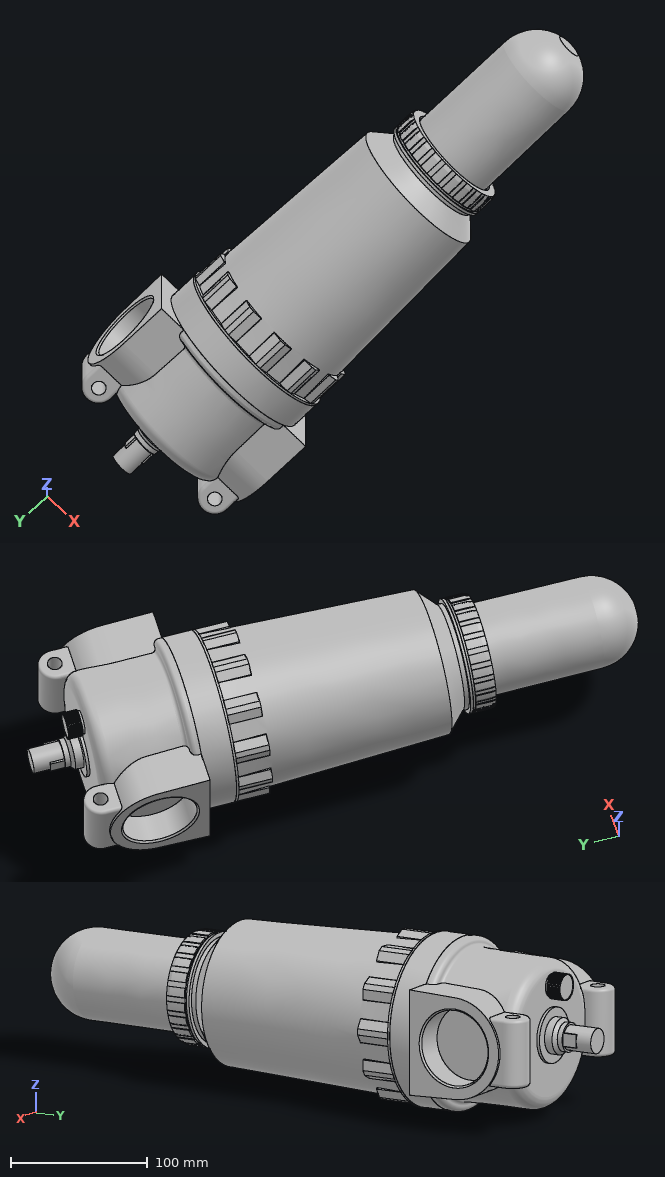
import cadquery as cq
import math

OVERALL_LENGTH = 460.0
OVERALL_WIDTH = 150.0
OVERLAP = 2.5

HEAD_BACK_Y = 76.0
HEAD_BACK_RADIUS = 56.0
HEAD_FRONT_RADIUS = 57.0
HEAD_BACK_FILLET = 10.0
HOUSING_DIAMETER = 130.0
RIM_LENGTH = 7.5
RIM_FILLET = 4.5
RIM_NECK_FILLET = 3.0

PORT_AXIS_Y = 37.5
BLOCK_RADIUS = HEAD_BACK_Y - PORT_AXIS_Y
BLOCK_DRAFT_ANGLE = math.radians(2)
PORT_DIAMETER = 56.5
PORT_DEPTH = 23.0
PORT_CHAMFER = 1.5

LUG_SPACING = 120.5
LUG_AXIS_Y = 79.0
LUG_DIAMETER = 25.5
LUG_HEIGHT = 51.5
LUG_FILLET = 2.8
LUG_HOLE_DIAMETER = 10.5

STEM_END_Y = 115.0
STEM_DIAMETER = 19.0
STEM_COLLAR_DIAMETER = 22.0
STEM_COLLAR_END_Y = 91.5
STEM_BASE_DIAMETER = 27.5
STEM_BASE_END_Y = 84.5
STEM_BASE_CHAMFER = (STEM_BASE_DIAMETER - STEM_COLLAR_DIAMETER) / 2
BOSS_DIAMETER = 42.0
BOSS_END_Y = 78.0
KEY_WIDTH = 10.0
KEY_END_Y = 102.5
KNOB_AXIS_Z = 37.3
KNOB_DIAMETER = 20.0
KNOB_SHANK_DIAMETER = 17.5
KNOB_START_Y = 77.7
KNOB_END_Y = 89.0
KNOB_GROOVES = 36
KNOB_GROOVE_DEPTH = 0.5
KNOB_GROOVE_WIDTH = 1.0

COLLAR_END_Y = -23.0
LIP_DIAMETER = 130.5
LIP_END_Y = -25.0
RIB_END_Y = -50.5
RIB_COUNT = 12
RIB_TOP_RADIUS = 65.0
RIB_TOP_WIDTH = 4.5
RIB_BASE_RADIUS = 60.5
RIB_BASE_WIDTH = 18.0
BOWL_TOP_RADIUS = 61.0
BOWL_BOTTOM_RADIUS = 54.7
TAPER_END_Y = -190.0
NECK_START_Y = -204.0
NECK_DIAMETER = 80.0

NUT_DIAMETER = 87.0
NUT_START_Y = -207.5
NUT_GROOVE_START_Y = -209.8
NUT_GROOVE_END_Y = -211.5
NUT_GROOVE_DIAMETER = 84.0
NUT_END_Y = -227.2
NUT_CHAMFER_LENGTH = 3.0
NUT_RECESS_DIAMETER = 72.5
NUT_RECESS_DEPTH = 2.8
KNURL_COUNT = 24
KNURL_GROOVE_WIDTH = 4.0
KNURL_GROOVE_DEPTH = 1.0

DOME_TOP_RADIUS = 35.0
DOME_RADIUS = 34.5
DOME_STRAIGHT_END_Y = -312.0
DOME_TIP_Y = STEM_END_Y - OVERALL_LENGTH


def rod(diameter, y_start, y_end):
    """Cylinder on the Y axis from y_start to y_end."""
    return cq.Workplane("XZ", origin=(0, y_start, 0)).circle(diameter / 2).extrude(y_start - y_end)


def around_y(shape, count):
    """Copies of a shape at equal angles around the Y axis."""
    return [shape.rotate((0, 0, 0), (0, 1, 0), i * 360 / count) for i in range(count)]


def revolve_y(profile):
    """Turned solid from an open half outline that starts and ends on the Y axis."""
    return profile.close().revolve(360, (0, 0, 0), (0, 1, 0))


def head_casting():
    """Nearly cylindrical casting with a rounded back end and a wide rim at its front."""
    back = revolve_y(
        cq.Workplane("XY")
        .lineTo(HEAD_FRONT_RADIUS, 0)
        .lineTo(HEAD_BACK_RADIUS, HEAD_BACK_Y)
        .lineTo(0, HEAD_BACK_Y)
    )
    back = back.faces(">Y").edges().fillet(HEAD_BACK_FILLET)
    rim = rod(HOUSING_DIAMETER, 0, RIM_LENGTH).faces(">Y").edges().fillet(RIM_FILLET)
    neck = cq.selectors.BoxSelector(
        (-HOUSING_DIAMETER, RIM_LENGTH - RIM_NECK_FILLET / 2, -HOUSING_DIAMETER),
        (HOUSING_DIAMETER, RIM_LENGTH + RIM_NECK_FILLET / 2, HOUSING_DIAMETER),
    )
    return back.union(rim).edges("%CIRCLE").edges(neck).fillet(RIM_NECK_FILLET)


def port_blocks():
    """One block across the head: round at the back, with flats that widen by the draft to the front."""
    tangent_y = PORT_AXIS_Y + BLOCK_RADIUS * math.sin(BLOCK_DRAFT_ANGLE)
    tangent_z = BLOCK_RADIUS * math.cos(BLOCK_DRAFT_ANGLE)
    front_z = tangent_z + tangent_y * math.tan(BLOCK_DRAFT_ANGLE)
    return (
        cq.Workplane("YZ")
        .moveTo(0, -front_z)
        .lineTo(tangent_y, -tangent_z)
        .threePointArc((HEAD_BACK_Y, 0), (tangent_y, tangent_z))
        .lineTo(0, front_z)
        .close()
        .extrude(OVERALL_WIDTH / 2, both=True)
    )


def port_bore(side):
    face_x = side * OVERALL_WIDTH / 2
    bore = (
        cq.Workplane("YZ", origin=(face_x, PORT_AXIS_Y, 0))
        .circle(PORT_DIAMETER / 2)
        .extrude(-side * PORT_DEPTH)
    )
    mouth = cq.Solid.makeCone(
        PORT_DIAMETER / 2 + PORT_CHAMFER, PORT_DIAMETER / 2, PORT_CHAMFER,
        pnt=cq.Vector(face_x, PORT_AXIS_Y, 0), dir=cq.Vector(-side, 0, 0),
    )
    return bore.union(cq.Workplane(mouth))


def mounting_lug(side):
    """Rounded lug whose straight end runs into the port block."""
    reach = LUG_AXIS_Y - PORT_AXIS_Y
    pad = cq.Workplane("XY").circle(LUG_DIAMETER / 2).extrude(LUG_HEIGHT / 2, both=True)
    web = (
        cq.Workplane("XY", origin=(0, -reach / 2, 0))
        .rect(LUG_DIAMETER, reach)
        .extrude(LUG_HEIGHT / 2, both=True)
    )
    lug = pad.union(web).faces("|Z").edges("not <Y").fillet(LUG_FILLET)
    return lug.translate((side * LUG_SPACING / 2, LUG_AXIS_Y, 0))


def lug_hole(side):
    return (
        cq.Workplane("XY", origin=(side * LUG_SPACING / 2, LUG_AXIS_Y, 0))
        .circle(LUG_HOLE_DIAMETER / 2)
        .extrude(LUG_HEIGHT, both=True)
    )


def indicator_stem():
    """Stepped stem on the head axis, with a flat key across its lower part."""
    start_y = HEAD_BACK_Y - OVERLAP
    base = rod(STEM_BASE_DIAMETER, start_y, STEM_BASE_END_Y + STEM_BASE_CHAMFER)
    base = base.faces(">Y").chamfer(STEM_BASE_CHAMFER)
    key = cq.Workplane("XY").box(STEM_DIAMETER, KEY_END_Y - start_y, KEY_WIDTH)
    return (
        rod(BOSS_DIAMETER, start_y, BOSS_END_Y)
        .union(base)
        .union(rod(STEM_COLLAR_DIAMETER, start_y, STEM_COLLAR_END_Y))
        .union(rod(STEM_DIAMETER, start_y, STEM_END_Y))
        .union(key.translate((0, (KEY_END_Y + start_y) / 2, 0)))
    )


def side_knob():
    """Small knurled knob beside the stem."""
    grip = rod(KNOB_DIAMETER, KNOB_START_Y, KNOB_END_Y)
    groove = cq.Workplane("XY").box(
        KNOB_GROOVE_WIDTH, KNOB_END_Y - KNOB_START_Y, 2 * KNOB_GROOVE_DEPTH
    ).translate((0, (KNOB_START_Y + KNOB_END_Y) / 2, KNOB_DIAMETER / 2))
    for cutter in around_y(groove, KNOB_GROOVES):
        grip = grip.cut(cutter)
    shank = rod(KNOB_SHANK_DIAMETER, HEAD_BACK_Y - OVERLAP, KNOB_START_Y)
    return grip.union(shank).translate((0, 0, KNOB_AXIS_Z))


def make_head():
    head = head_casting().union(port_blocks())
    for side in (-1, 1):
        head = head.union(mounting_lug(side)).cut(port_bore(side)).cut(lug_hole(side))
    return head.union(indicator_stem()).union(side_knob())


def bowl_shell():
    """Collar with its thin lip, tapered bowl, neck, nut blank and sight dome as one turned shape."""
    dome_tip_radius = math.sqrt(DOME_RADIUS**2 - (DOME_STRAIGHT_END_Y - DOME_TIP_Y) ** 2)
    dome_mid = DOME_RADIUS * math.sin(math.radians(45))
    nut_radius = NUT_DIAMETER / 2
    return revolve_y(
        cq.Workplane("XY")
        .lineTo(HOUSING_DIAMETER / 2, 0)
        .lineTo(HOUSING_DIAMETER / 2, COLLAR_END_Y)
        .lineTo(LIP_DIAMETER / 2, COLLAR_END_Y)
        .lineTo(LIP_DIAMETER / 2, LIP_END_Y)
        .lineTo(BOWL_TOP_RADIUS, LIP_END_Y)
        .lineTo(BOWL_BOTTOM_RADIUS, TAPER_END_Y)
        .lineTo(NECK_DIAMETER / 2, NECK_START_Y)
        .lineTo(NECK_DIAMETER / 2, NUT_START_Y)
        .lineTo(nut_radius, NUT_START_Y)
        .lineTo(nut_radius, NUT_GROOVE_START_Y)
        .lineTo(NUT_GROOVE_DIAMETER / 2, NUT_GROOVE_START_Y)
        .lineTo(NUT_GROOVE_DIAMETER / 2, NUT_GROOVE_END_Y)
        .lineTo(nut_radius, NUT_GROOVE_END_Y)
        .lineTo(nut_radius, NUT_END_Y + NUT_CHAMFER_LENGTH)
        .lineTo(nut_radius - KNURL_GROOVE_DEPTH, NUT_END_Y)
        .lineTo(NUT_RECESS_DIAMETER / 2, NUT_END_Y)
        .lineTo(NUT_RECESS_DIAMETER / 2, NUT_END_Y + NUT_RECESS_DEPTH)
        .lineTo(DOME_TOP_RADIUS, NUT_END_Y + NUT_RECESS_DEPTH)
        .lineTo(DOME_RADIUS, DOME_STRAIGHT_END_Y)
        .threePointArc((dome_mid, DOME_STRAIGHT_END_Y - dome_mid), (dome_tip_radius, DOME_TIP_Y))
        .lineTo(0, DOME_TIP_Y)
    )


def grip_rib():
    """Rib under the collar at the +Z side: a trapezoid on a straight root inside the bowl wall."""
    root_z = BOWL_BOTTOM_RADIUS
    return (
        cq.Workplane("XZ", origin=(0, COLLAR_END_Y, 0))
        .moveTo(-RIB_BASE_WIDTH / 2, root_z)
        .lineTo(RIB_BASE_WIDTH / 2, root_z)
        .lineTo(RIB_BASE_WIDTH / 2, RIB_BASE_RADIUS)
        .lineTo(RIB_TOP_WIDTH / 2, RIB_TOP_RADIUS)
        .lineTo(-RIB_TOP_WIDTH / 2, RIB_TOP_RADIUS)
        .lineTo(-RIB_BASE_WIDTH / 2, RIB_BASE_RADIUS)
        .close()
        .extrude(COLLAR_END_Y - RIB_END_Y)
    )


def knurl_groove():
    length = NUT_GROOVE_END_Y - NUT_END_Y
    center_y = (NUT_GROOVE_END_Y + NUT_END_Y) / 2
    groove = cq.Workplane("XY").box(KNURL_GROOVE_WIDTH, length, 2 * KNURL_GROOVE_DEPTH)
    return groove.translate((0, center_y, NUT_DIAMETER / 2))


def make_bowl():
    bowl = bowl_shell()
    for rib in around_y(grip_rib(), RIB_COUNT):
        bowl = bowl.union(rib)
    for groove in around_y(knurl_groove(), KNURL_COUNT):
        bowl = bowl.cut(groove)
    return bowl


head = make_head()
bowl = make_bowl()
result = cq.Compound.makeCompound([head.val(), bowl.val()])